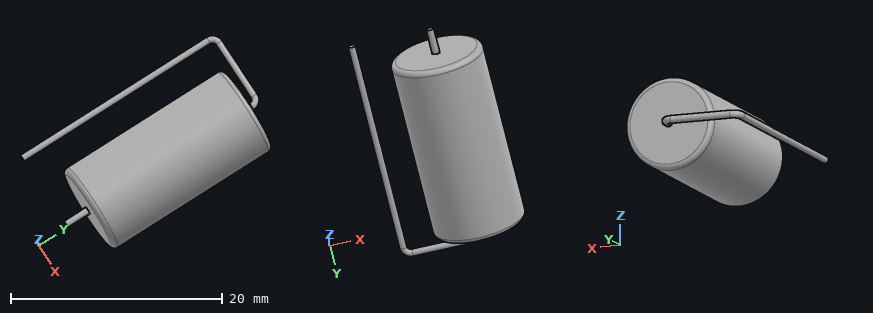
import cadquery as cq

total_length = 22.12
body_diameter = 9.0
body_length = 18.0
edge_radius = 0.5
lead_diameter = 0.75
lead_pitch = 7.6
front_lead_length = 2.5

lead_radius = lead_diameter / 2
bend_radius = lead_diameter
front_tip_y = -front_lead_length
crossbar_y = total_length - front_lead_length - lead_radius
bend_start_y = crossbar_y - bend_radius


def make_body():
    """Cylinder with rounded rims, front face at Y = 0."""
    cylinder = cq.Workplane("XZ").circle(body_diameter / 2).extrude(-body_length)
    return cylinder.edges().fillet(edge_radius)


def make_lead():
    """One wire through the body axis, bent back alongside the body."""
    path = (
        cq.Workplane("XY")
        .moveTo(0, front_tip_y)
        .lineTo(0, bend_start_y)
        .tangentArcPoint((-bend_radius, crossbar_y), relative=False)
        .lineTo(-lead_pitch + bend_radius, crossbar_y)
        .tangentArcPoint((-lead_pitch, bend_start_y), relative=False)
        .lineTo(-lead_pitch, front_tip_y)
    )
    profile = cq.Workplane("XZ", origin=(0, front_tip_y, 0)).circle(lead_radius)
    return profile.sweep(path)


result = make_body().union(make_lead())